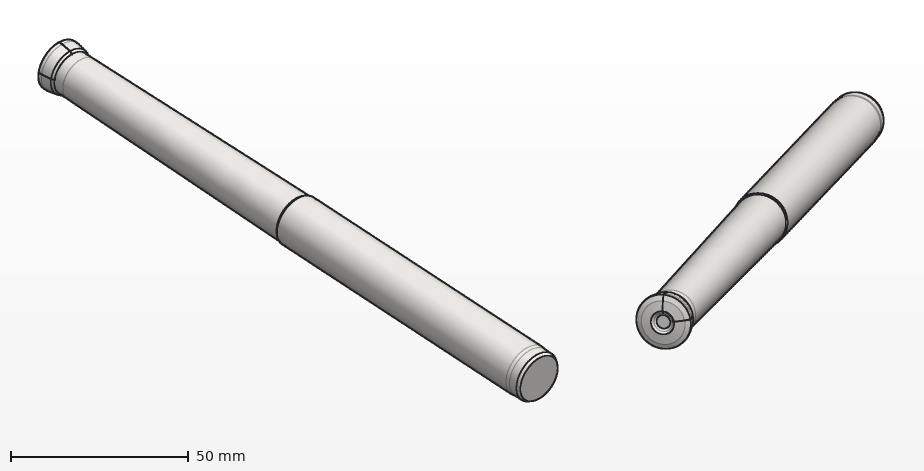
import cadquery as cq

LENGTH = 200.0
HANDLE_DIAMETER = 16.0
SHOULDER_X = 100.0
SHOULDER_CHAMFER = 0.5

NECK_DIAMETER = 13.5
NECK_START_X = 6.5
TAPER_START_X = 9.8
TAPER_END_DIAMETER = 15.5

REAR_DIAMETER = 15.5
REAR_CHAMFER_X = 194.8
REAR_STEP_X = 196.0
END_CHAMFER = 1.0
END_CHAMFER_DEPTH = 0.5

DOME_DIAMETER = 12.8
DOME_DEPTH = 0.5
RIM_START_X = 1.0
RIM_END_X = 2.2
HEAD_BACK_X = 5.5
HEAD_BACK_DIAMETER = 14.8

RECESS_DIAMETER = 6.8
RECESS_STEP_DIAMETER = 5.5
RECESS_STEP_DEPTH = 0.5
RECESS_FLOOR_DIAMETER = 4.0
RECESS_DEPTH = 1.0

SLIT_WIDTH = 0.1
SLIT_ANGLES = (90, 170)


def turned(stations):
    """Solid of revolution about X through (x, diameter) stations."""
    outline = [(x, diameter / 2) for x, diameter in stations]
    first_x = stations[0][0]
    last_x = stations[-1][0]
    points = [(first_x, 0), *outline, (last_x, 0)]
    return cq.Workplane("XY").polyline(points).close().revolve(360, (0, 0, 0), (1, 0, 0))


def make_holder():
    return turned([
        (NECK_START_X, NECK_DIAMETER),
        (TAPER_START_X, NECK_DIAMETER),
        (SHOULDER_X - SHOULDER_CHAMFER, TAPER_END_DIAMETER),
        (SHOULDER_X, HANDLE_DIAMETER),
        (REAR_CHAMFER_X, HANDLE_DIAMETER),
        (REAR_STEP_X, REAR_DIAMETER),
        (LENGTH - END_CHAMFER, REAR_DIAMETER),
        (LENGTH, REAR_DIAMETER - 2 * END_CHAMFER_DEPTH),
    ])


def make_slit(angle):
    """Thin radial blade from inside the recess out past the rim."""
    inner_radius = RECESS_STEP_DIAMETER / 2
    outer_radius = HANDLE_DIAMETER / 2 + SLIT_WIDTH
    blade = cq.Workplane("XY").box(
        NECK_START_X, outer_radius - inner_radius, SLIT_WIDTH, centered=(False, False, True)
    )
    return blade.translate((0, inner_radius, 0)).rotate((0, 0, 0), (1, 0, 0), angle)


def make_head():
    head = turned([
        (0, RECESS_DIAMETER),
        (DOME_DEPTH, DOME_DIAMETER),
        (RIM_START_X, HANDLE_DIAMETER),
        (RIM_END_X, HANDLE_DIAMETER),
        (HEAD_BACK_X, HEAD_BACK_DIAMETER),
        (NECK_START_X, NECK_DIAMETER),
    ])
    recess = turned([
        (0, RECESS_DIAMETER),
        (RECESS_STEP_DEPTH, RECESS_STEP_DIAMETER),
        (RECESS_DEPTH, RECESS_FLOOR_DIAMETER),
    ])
    head = head.cut(recess)
    for angle in SLIT_ANGLES:
        head = head.cut(make_slit(angle))
    return head


holder = make_holder()
head = make_head()
result = cq.Compound.makeCompound([holder.val(), head.val()])